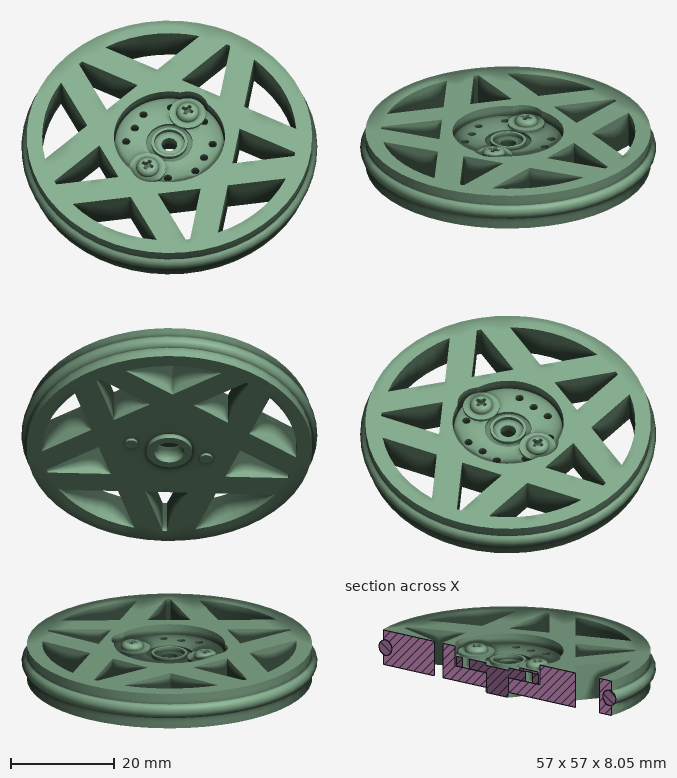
import cadquery as cq
import math

wheel_diameter = 55.0
wheel_thickness = 7.05
window_circle_diameter = 49.0
spoke_count = 5
spoke_width = 5.0
spoke_offset = 10.5
pocket_depth = 4.0
horn_clearance = 0.2
lobe_diameter = 8.1

tyre_outer_diameter = 57.0
tyre_cord_diameter = 3.0

horn_diameter = 21.0
horn_thickness = 2.0
hub_diameter = 8.8
hub_protrusion = 1.0
ring_recess_diameter = 8.95
ring_recess_depth = 0.5
boss_diameter = 6.9
boss_height = 0.2
counterbore_diameter = 5.9
counterbore_depth = 0.8
bore_diameter = 3.0
bore_depth = 1.7
spline_socket_diameter = 5.8
small_hole_diameter = 1.6
hole_row_offset = 7.5
hole_spacing = 3.6

shank_diameter = 2.4
shank_protrusion = 0.5
flange_diameter = 7.0
flange_thickness = 0.5
head_diameter = 4.4
head_height = 1.1
head_flat_diameter = 2.4
drive_slot_width = 0.75
drive_core_diameter = 1.35
drive_depth = 1.0
lower_screw_shift = 0.8

pocket_floor = wheel_thickness - pocket_depth
horn_face = pocket_floor + horn_thickness
pocket_diameter = horn_diameter + 2 * horn_clearance
lobe_centers = [(0, hole_row_offset), (0, -hole_row_offset)]
screw_centers = [(0, hole_row_offset), (-lower_screw_shift, -hole_row_offset)]


def cylinder(diameter, bottom, top, centers=((0, 0),)):
    """Vertical cylinders between two heights, one at each center."""
    return (
        cq.Workplane("XY", origin=(0, 0, bottom))
        .pushPoints(centers)
        .circle(diameter / 2)
        .extrude(top - bottom)
    )


def make_tyre():
    """O-ring seated around the middle of the rim."""
    cord_radius = tyre_cord_diameter / 2
    ring_radius = tyre_outer_diameter / 2 - cord_radius
    return (
        cq.Workplane("XZ")
        .center(ring_radius, wheel_thickness / 2)
        .circle(cord_radius)
        .revolve(360, (-ring_radius, 0), (-ring_radius, 1))
    )


def make_star():
    """Crossing bars with the pentagon between them filled in."""
    pentagon_corner_radius = spoke_offset / math.cos(math.pi / spoke_count)
    star = (
        cq.Workplane("XY")
        .polygon(spoke_count, 2 * pentagon_corner_radius)
        .extrude(wheel_thickness)
        .rotate((0, 0, 0), (0, 0, 1), -90)
    )
    for index in range(spoke_count):
        bar = (
            cq.Workplane("XY")
            .center(0, spoke_offset)
            .rect(wheel_diameter, spoke_width)
            .extrude(wheel_thickness)
            .rotate((0, 0, 0), (0, 0, 1), index * 360 / spoke_count)
        )
        star = star.union(bar)
    return star


def make_wheel(tyre):
    """Rim and star spokes, with a tyre groove, a horn pocket and through holes."""
    disc = cylinder(wheel_diameter, 0, wheel_thickness)
    window_disc = cylinder(window_circle_diameter, 0, wheel_thickness)
    windows = window_disc.cut(make_star())
    wheel = disc.cut(windows).cut(tyre)
    wheel = wheel.cut(cylinder(pocket_diameter, pocket_floor, wheel_thickness))
    wheel = wheel.cut(cylinder(lobe_diameter, pocket_floor, wheel_thickness, lobe_centers))
    wheel = wheel.cut(cylinder(hub_diameter, 0, pocket_floor))
    return wheel.cut(cylinder(shank_diameter, 0, pocket_floor, screw_centers))


def make_horn():
    """Round servo horn: a drilled disc with a hub below and a ringed boss in the middle."""
    boss_top = horn_face + boss_height
    recess_floor = horn_face - ring_recess_depth
    horn = cylinder(horn_diameter, pocket_floor, horn_face)
    horn = horn.union(cylinder(hub_diameter, -hub_protrusion, pocket_floor))
    horn = horn.cut(cylinder(ring_recess_diameter, recess_floor, horn_face))
    horn = horn.union(cylinder(boss_diameter, recess_floor, boss_top))
    counterbore_bottom = boss_top - counterbore_depth
    horn = horn.cut(cylinder(counterbore_diameter, counterbore_bottom, boss_top))
    bore_bottom = counterbore_bottom - bore_depth
    horn = horn.cut(cylinder(bore_diameter, bore_bottom, counterbore_bottom))
    horn = horn.cut(cylinder(spline_socket_diameter, -hub_protrusion, bore_bottom))

    hole_centers = []
    for sign in (-1, 1):
        hole_centers += [(sign * hole_row_offset, step * hole_spacing) for step in (-1, 0, 1)]
        hole_centers += [(step * hole_spacing, sign * hole_row_offset) for step in (-1, 1)]
    horn = horn.cut(cylinder(small_hole_diameter, pocket_floor, horn_face, hole_centers))
    return horn.cut(cylinder(shank_diameter, pocket_floor, horn_face, screw_centers))


def make_screw(center):
    """Flanged round-head screw with a cross drive, passing through horn and wheel."""
    flange_top = horn_face + flange_thickness
    head_top = flange_top + head_height
    flat_radius = head_flat_diameter / 2
    head_radius = head_diameter / 2
    diagonal = math.sqrt(0.5)
    shoulder = (
        flat_radius + (head_radius - flat_radius) * diagonal,
        flange_top + head_height * diagonal,
    )
    screw = (
        cq.Workplane("XZ")
        .moveTo(0, -shank_protrusion)
        .lineTo(shank_diameter / 2, -shank_protrusion)
        .lineTo(shank_diameter / 2, horn_face)
        .lineTo(flange_diameter / 2, horn_face)
        .lineTo(flange_diameter / 2, flange_top)
        .lineTo(head_radius, flange_top)
        .threePointArc(shoulder, (flat_radius, head_top))
        .lineTo(0, head_top)
        .close()
        .revolve(360, (0, 0), (0, 1))
    )
    drive_floor = head_top - drive_depth
    slot = cq.Workplane("XY", origin=(0, 0, drive_floor)).rect(head_diameter, drive_slot_width)
    slot = slot.extrude(drive_depth)
    cross = slot.union(slot.rotate((0, 0, 0), (0, 0, 1), 90))
    cross = cross.intersect(cylinder(head_flat_diameter, drive_floor, head_top))
    cross = cross.union(cylinder(drive_core_diameter, drive_floor, head_top))
    return screw.cut(cross).translate((*center, 0))


tyre = make_tyre()
wheel = make_wheel(tyre)
horn = make_horn()
screws = [make_screw(center) for center in screw_centers]

result = cq.Compound.makeCompound(
    [wheel.val(), tyre.val(), horn.val(), *[screw.val() for screw in screws]]
)